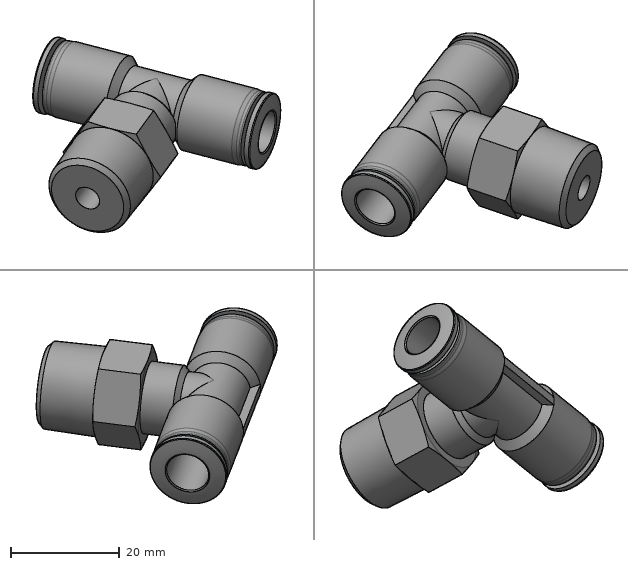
import cadquery as cq
import math


run_half_length = 22.3
waist_radius = 5.73
sleeve_radius = 14.5 / 2
sleeve_start = 7.22
sleeve_cone_start = sleeve_start - (sleeve_radius - waist_radius)
sleeve_taper_start = 18.25
sleeve_rim_start = 19.1
sleeve_end = 19.98
sleeve_rim_radius = 14.2 / 2
sleeve_rim_chamfer_length = 0.3
sleeve_rim_chamfer_height = 0.1

neck_radius = 9.3 / 2
neck_flare_start = 20.35
neck_flare_radius = 4.85
flange_start = 20.75
flange_edge_start = 21.63
flange_face_start = 21.85
flange_face_radius = 7.15
flange_flat_radius = 4.3

run_bore_radius = 6.0 / 2
tube_socket_radius = 7.95 / 2
tube_socket_depth = 11.15
socket_chamfer = 0.22

web_thickness = 2.0

shoulder_radius = 13.5 / 2
shoulder_start = 6.35
shoulder_cone_start = shoulder_start - (shoulder_radius - waist_radius)
hex_start = 12.4
hex_end = 20.95
hex_across_flats = 17.0
hex_corner_radius = hex_across_flats / math.sqrt(3)
hex_chamfer_angle = 12.5
thread_end = 39.15 - sleeve_radius
thread_top_radius = 8.43
thread_tip_radius = 8.2
thread_chamfer = 0.95
branch_bore_radius = 4.8 / 2


def make_run_half():
    """Solid of revolution about X, from the middle of the run to the +X end."""
    face_drop = run_half_length - flange_face_start
    face_rise = flange_face_radius - flange_flat_radius
    crown_radius = (face_drop**2 + face_rise**2) / (2 * face_drop)
    mid_radius = flange_flat_radius + face_rise / 2
    mid_drop = crown_radius - math.sqrt(crown_radius**2 - (face_rise / 2) ** 2)
    return (
        cq.Workplane("XY")
        .polyline(
            [
                (0, 0),
                (0, waist_radius),
                (sleeve_cone_start, waist_radius),
                (sleeve_start, sleeve_radius),
                (sleeve_taper_start, sleeve_radius),
                (sleeve_rim_start, sleeve_rim_radius),
                (sleeve_end - sleeve_rim_chamfer_length, sleeve_rim_radius),
                (sleeve_end, sleeve_rim_radius - sleeve_rim_chamfer_height),
                (sleeve_end, neck_radius),
                (neck_flare_start, neck_radius),
                (flange_start, neck_flare_radius),
                (flange_start, sleeve_radius),
                (flange_edge_start, sleeve_radius),
                (flange_face_start, flange_face_radius),
            ]
        )
        .threePointArc((run_half_length - mid_drop, mid_radius), (run_half_length, flange_flat_radius))
        .lineTo(run_half_length, 0)
        .close()
        .revolve(360, (0, 0, 0), (1, 0, 0))
    )


def revolve_branch(profile):
    """Revolve (radius, distance along -Y) points about the Y axis."""
    points = [(radius, -distance) for radius, distance in profile]
    return cq.Workplane("XY").polyline(points).close().revolve(360, (0, 0, 0), (0, 1, 0))


def make_branch_stem():
    return revolve_branch(
        [
            (0, 0),
            (waist_radius, 0),
            (waist_radius, shoulder_cone_start),
            (shoulder_radius, shoulder_start),
            (shoulder_radius, hex_end),
            (thread_top_radius, hex_end),
            (thread_tip_radius, thread_end - thread_chamfer),
            (thread_tip_radius - thread_chamfer, thread_end),
            (0, thread_end),
        ]
    )


def make_hex():
    """Hexagon with corners on X, its corners bevelled at both ends."""
    hexagon = (
        cq.Workplane("XZ", origin=(0, -hex_start, 0))
        .polygon(6, 2 * hex_corner_radius)
        .extrude(hex_end - hex_start)
    )
    flat_radius = hex_across_flats / 2
    bevel = (hex_corner_radius - flat_radius) * math.tan(math.radians(hex_chamfer_angle))
    envelope = revolve_branch(
        [
            (0, hex_start),
            (flat_radius, hex_start),
            (hex_corner_radius, hex_start + bevel),
            (hex_corner_radius, hex_end - bevel),
            (flat_radius, hex_end),
            (0, hex_end),
        ]
    )
    return hexagon.intersect(envelope)


def make_web():
    """Web joining the two sleeves, flush with their outside at the back."""
    return cq.Workplane("XY").box(
        2 * sleeve_start, sleeve_radius, web_thickness, centered=(True, False, True)
    )


def make_socket():
    """Tube socket at the +X end, with a chamfered mouth."""
    return (
        cq.Workplane("XY")
        .polyline(
            [
                (run_half_length, 0),
                (run_half_length, tube_socket_radius + socket_chamfer),
                (run_half_length - socket_chamfer, tube_socket_radius),
                (run_half_length - tube_socket_depth, tube_socket_radius),
                (run_half_length - tube_socket_depth, 0),
            ]
        )
        .close()
        .revolve(360, (0, 0, 0), (1, 0, 0))
    )


run_half = make_run_half()
body = run_half.union(run_half.mirror("YZ"))
body = body.union(make_web()).union(make_branch_stem()).union(make_hex())

socket = make_socket()
run_bore = cq.Workplane("YZ").circle(run_bore_radius).extrude(run_half_length, both=True)
branch_bore = cq.Workplane("XZ").circle(branch_bore_radius).extrude(thread_end)

result = body.cut(run_bore).cut(socket).cut(socket.mirror("YZ")).cut(branch_bore)